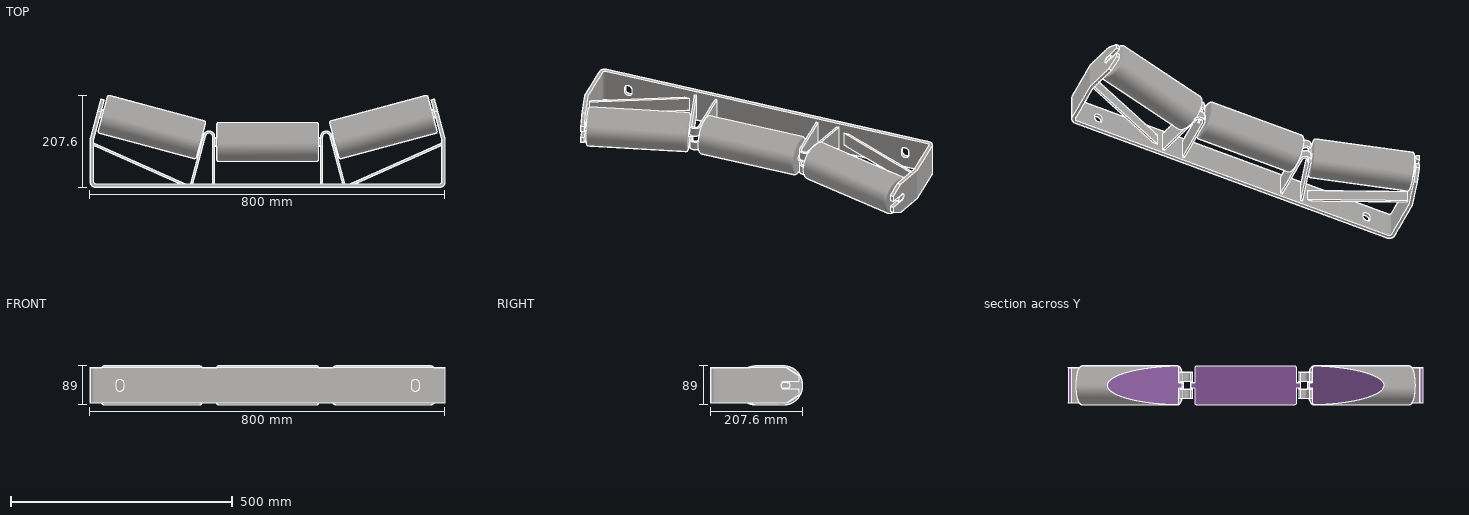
import cadquery as cq
import math


TILT = 15.0
tilt_sin = math.sin(math.radians(TILT))
tilt_cos = math.cos(math.radians(TILT))

FRAME_LENGTH = 800.0
STRIP_WIDTH = 80.0
PLATE = 8.0
BEND_HEIGHT = 109.0
WALL_TOP = 199.0
INNER_BEND_RADIUS = 5.0
outer_bend_radius = INNER_BEND_RADIUS + PLATE
CORNER_CUT_WIDTH = 18.0
CORNER_CUT_LENGTH = 28.0
MOUNT_HOLE_X = 333.0
MOUNT_HOLE_WIDTH = 18.0
MOUNT_HOLE_HEIGHT = 27.0

ROLLER_DIAMETER = 89.0
ROLLER_LENGTH = 230.0
ROLLER_EDGE_RADIUS = 5.0
SHAFT_DIAMETER = 20.0
SHAFT_FLATS = 13.0
CENTRE_ROLLER_Y = 102.0
SIDE_ROLLER_X = 261.0
SIDE_ROLLER_Y = 136.0

SLOT_WIDTH = 17.0
slot_radius = SLOT_WIDTH / 2
shaft_radius = SHAFT_DIAMETER / 2
flat_half_height = math.sqrt(shaft_radius**2 - (SHAFT_FLATS / 2)**2)
slot_centre_drop = flat_half_height - math.sqrt(slot_radius**2 - (SHAFT_FLATS / 2)**2)

HAIRPIN_WIDTH = 60.0
HAIRPIN_PLATE = 5.0
HAIRPIN_FACE_X = 119.0
HAIRPIN_TOP = 127.0
HAIRPIN_OUTER_RADIUS = 13.0
hairpin_inner_radius = HAIRPIN_OUTER_RADIUS - HAIRPIN_PLATE
hairpin_x = HAIRPIN_FACE_X + HAIRPIN_OUTER_RADIUS
hairpin_y = HAIRPIN_TOP - HAIRPIN_OUTER_RADIUS

BRACE_PLATE = 5.0
BRACE_WIDTH = 34.0
BRACE_WALL_Y = 100.0
BRACE_FOOT_X = 186.0

half_length = FRAME_LENGTH / 2
wall_reach = (half_length - SIDE_ROLLER_X) * tilt_cos + (BEND_HEIGHT - SIDE_ROLLER_Y) * tilt_sin
leg_reach = (
    (SIDE_ROLLER_X - hairpin_x) * tilt_cos + (SIDE_ROLLER_Y - hairpin_y) * tilt_sin - HAIRPIN_OUTER_RADIUS
)
side_outboard_end = wall_reach
side_inboard_end = leg_reach + HAIRPIN_PLATE
centre_end = HAIRPIN_FACE_X + HAIRPIN_PLATE


def extrude_strip(sketch, width):
    """Extrude a closed XY outline symmetrically about Z = 0."""
    return sketch.extrude(width / 2, both=True)


def to_side_roller(body):
    """Move a body from the origin, lying along X, to the +X side roller position."""
    return body.rotate((0, 0, 0), (0, 0, 1), TILT).translate((SIDE_ROLLER_X, SIDE_ROLLER_Y, 0))


def mirror_x(body):
    """Copy a body to the other side of the frame."""
    return body.mirror("YZ")


def shaft_slot(start, end):
    """Open-topped slot cutter along X from start to end, for a shaft centred on the X axis."""
    length = end - start
    bottom = (
        cq.Workplane("YZ", origin=(start, -slot_centre_drop, 0))
        .circle(slot_radius)
        .extrude(length)
    )
    throat = (
        cq.Workplane("XY")
        .box(length, ROLLER_DIAMETER, SLOT_WIDTH, centered=(False, False, True))
        .translate((start, -slot_centre_drop, 0))
    )
    return bottom.union(throat)


def make_roller(left_end, right_end):
    """Roller along X centred on the origin; its shaft runs from left_end to right_end."""
    drum = (
        cq.Workplane("YZ", origin=(-ROLLER_LENGTH / 2, 0, 0))
        .circle(ROLLER_DIAMETER / 2)
        .extrude(ROLLER_LENGTH)
        .edges("%CIRCLE")
        .fillet(ROLLER_EDGE_RADIUS)
    )
    shaft = (
        cq.Workplane("YZ", origin=(left_end, 0, 0))
        .circle(shaft_radius)
        .extrude(right_end - left_end)
    )
    flats = cq.Workplane("XY").box(FRAME_LENGTH, SHAFT_DIAMETER, SHAFT_FLATS)
    return drum.union(shaft.intersect(flats))


def make_frame(wall_slot):
    """Base plate with two end walls, bent from one strip; wall_slot cuts the +X wall."""
    lean = math.tan(math.radians(TILT))
    inner_x = half_length - PLATE
    inner_bend_y = BEND_HEIGHT - PLATE * math.tan(math.radians(TILT / 2))
    tip_x = half_length - (WALL_TOP - BEND_HEIGHT) * lean
    inner_tip = (tip_x - PLATE * tilt_cos, WALL_TOP - PLATE * tilt_sin)
    right_side = [
        (half_length, 0),
        (half_length, BEND_HEIGHT),
        (tip_x, WALL_TOP),
        inner_tip,
        (inner_x, inner_bend_y),
        (inner_x, PLATE),
    ]
    left_side = [(-x, y) for x, y in reversed(right_side)]
    frame = extrude_strip(cq.Workplane("XY").polyline(right_side + left_side).close(), STRIP_WIDTH)

    bends = [
        (half_length, 0, outer_bend_radius),
        (inner_x, PLATE, INNER_BEND_RADIUS),
        (half_length, BEND_HEIGHT, outer_bend_radius),
        (inner_x, inner_bend_y, INNER_BEND_RADIUS),
    ]
    for x, y, radius in bends:
        for side in (-1, 1):
            frame = frame.edges(cq.selectors.NearestToPointSelector((side * x, y, 0))).fillet(radius)

    tip_height = (WALL_TOP - BEND_HEIGHT) / tilt_cos
    half_width = STRIP_WIDTH / 2
    wedge = (
        cq.Workplane("YZ")
        .polyline([
            (tip_height - CORNER_CUT_LENGTH, half_width),
            (tip_height, half_width - CORNER_CUT_WIDTH),
            (tip_height, half_width),
        ])
        .close()
        .extrude(2 * PLATE, both=True)
        .rotate((0, 0, 0), (0, 0, 1), TILT)
        .translate((half_length, BEND_HEIGHT, 0))
    )
    wall_cuts = wall_slot.union(wedge).union(wedge.mirror("XY"))
    frame = frame.cut(wall_cuts).cut(mirror_x(wall_cuts))

    mount_holes = (
        cq.Workplane("XZ")
        .pushPoints([(-MOUNT_HOLE_X, 0), (MOUNT_HOLE_X, 0)])
        .slot2D(MOUNT_HOLE_HEIGHT, MOUNT_HOLE_WIDTH, 90)
        .extrude(-PLATE)
    )
    return frame.cut(mount_holes)


def make_hairpin(leg_slots):
    """+X bracket: an upright leg, a round crown and a leg leaning with the side roller."""
    outer, inner = HAIRPIN_OUTER_RADIUS, hairpin_inner_radius

    def crown_point(radius, angle):
        return (
            hairpin_x + radius * math.cos(math.radians(angle)),
            hairpin_y + radius * math.sin(math.radians(angle)),
        )

    def leaning_foot(radius):
        x, y = crown_point(radius, TILT)
        return (x + (y - PLATE) * math.tan(math.radians(TILT)), PLATE)

    outline = (
        cq.Workplane("XY")
        .moveTo(hairpin_x - outer, PLATE)
        .lineTo(hairpin_x - outer, hairpin_y)
        .threePointArc(crown_point(outer, 90), crown_point(outer, TILT))
        .lineTo(*leaning_foot(outer))
        .lineTo(*leaning_foot(inner))
        .lineTo(*crown_point(inner, TILT))
        .threePointArc(crown_point(inner, 90), (hairpin_x - inner, hairpin_y))
        .lineTo(hairpin_x - inner, PLATE)
        .close()
    )
    return extrude_strip(outline, HAIRPIN_WIDTH).cut(leg_slots)


def make_brace():
    """+X brace: a flat bar from the end wall down to the base plate."""
    wall_x = half_length - PLATE
    slope = math.atan2(BRACE_WALL_Y - PLATE, wall_x - BRACE_FOOT_X)
    outline = (
        cq.Workplane("XY")
        .polyline([
            (wall_x, BRACE_WALL_Y),
            (BRACE_FOOT_X, PLATE),
            (BRACE_FOOT_X + BRACE_PLATE / math.sin(slope), PLATE),
            (wall_x, BRACE_WALL_Y - BRACE_PLATE / math.cos(slope)),
        ])
        .close()
    )
    return extrude_strip(outline, BRACE_WIDTH)


half_roller = ROLLER_LENGTH / 2
wall_slot = to_side_roller(shaft_slot(half_roller, wall_reach + PLATE))
leaning_leg_slot = to_side_roller(shaft_slot(-leg_reach - HAIRPIN_OUTER_RADIUS, -half_roller))
upright_leg_slot = shaft_slot(half_roller, hairpin_x).translate((0, CENTRE_ROLLER_Y, 0))

frame = make_frame(wall_slot)
centre_roller = make_roller(-centre_end, centre_end).translate((0, CENTRE_ROLLER_Y, 0))
right_roller = to_side_roller(make_roller(-side_inboard_end, side_outboard_end))
right_hairpin = make_hairpin(leaning_leg_slot.union(upright_leg_slot))
right_brace = make_brace()

bodies = [frame.val().Solids()[0], centre_roller.val().Solids()[0]]
for right_body in (right_roller, right_hairpin, right_brace):
    for body in (right_body, mirror_x(right_body)):
        bodies.append(body.val().Solids()[0])

result = cq.Compound.makeCompound(bodies)